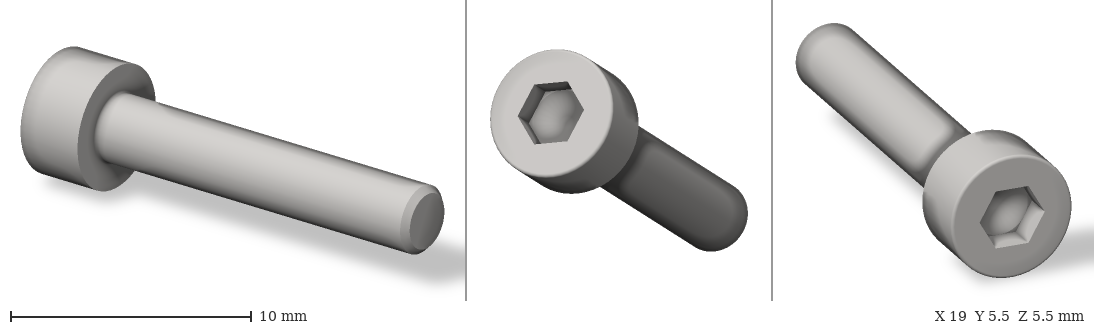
import cadquery as cq
import math

total_length = 19.0
head_diameter = 5.5
head_length = 3.0
head_edge_round = 0.13
shank_diameter = 3.0
neck_fillet = 0.1
tip_chamfer = 0.28
socket_across_flats = 2.56
socket_depth = 1.3
socket_cone_angle = 120.0

head_face_x = -total_length / 2
shoulder_x = head_face_x + head_length
tip_x = total_length / 2


def cylinder_along_x(start_x, end_x, diameter):
    plane = cq.Workplane("YZ", origin=(start_x, 0, 0))
    return plane.circle(diameter / 2).extrude(end_x - start_x)


def make_body():
    head = cylinder_along_x(head_face_x, shoulder_x, head_diameter)
    head = head.faces("<X").edges().fillet(head_edge_round)
    shank = cylinder_along_x(shoulder_x, tip_x, shank_diameter)
    shank = shank.faces(">X").edges().chamfer(tip_chamfer)
    body = head.union(shank)
    neck_edge = cq.selectors.RadiusNthSelector(0)
    shoulder = body.faces(cq.selectors.NearestToPointSelector((shoulder_x, 0, 0)))
    return shoulder.edges(neck_edge).fillet(neck_fillet)


def make_socket():
    across_corners = socket_across_flats / math.cos(math.radians(30))
    socket_plane = cq.Workplane("YZ", origin=(head_face_x, 0, 0))
    hexagon = socket_plane.polygon(6, across_corners).extrude(socket_depth)

    cone_radius = socket_across_flats / 2
    cone_height = cone_radius / math.tan(math.radians(socket_cone_angle / 2))
    cone = cq.Workplane(
        cq.Solid.makeCone(
            cone_radius,
            0,
            cone_height,
            pnt=cq.Vector(head_face_x + socket_depth, 0, 0),
            dir=cq.Vector(1, 0, 0),
        )
    )
    return hexagon.union(cone)


result = make_body().cut(make_socket())